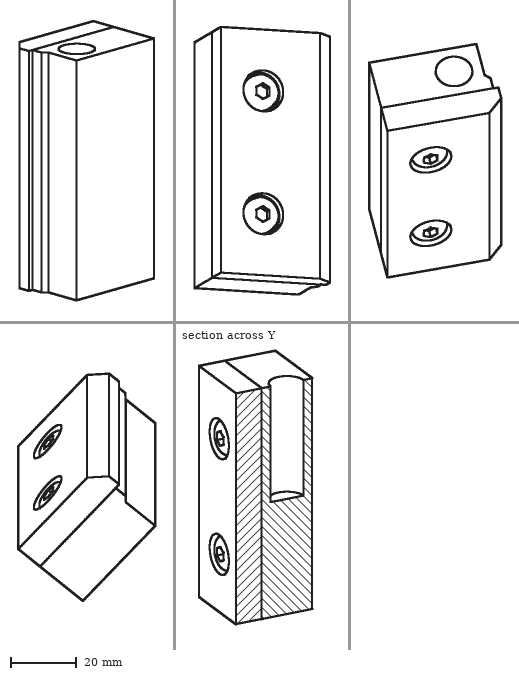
import cadquery as cq
import math

TOTAL_WIDTH = 26.2
TOTAL_DEPTH = 36.5
HEIGHT = 76.2

PLATE_THICKNESS = 8.85
PLATE_CHAMFER = 4.7

LIP_SETBACK = 1.6
BLOCK_SETBACK = 3.1
LIP_WIDTH = 3.9

BORE_DIAMETER = 11.1
BORE_Y = 12.0
BORE_DEPTH = HEIGHT / 2
BORE_X = (PLATE_THICKNESS + TOTAL_WIDTH) / 2

SCREW_Y = 22.9
SCREW_HEIGHTS = [HEIGHT / 4, HEIGHT * 3 / 4]
SHANK_DIAMETER = 6.3
HEAD_DIAMETER = 11.1
HEAD_HEIGHT = 3.35
HEAD_FLAT_DIAMETER = 6.7
COUNTERBORE_DIAMETER = 12.7
HEAD_RECESS = 0.3
COUNTERBORE_DEPTH = HEAD_RECESS + HEAD_HEIGHT
SCREW_REACH = 19.8
HEX_ACROSS_FLATS = 4.2
HEX_DEPTH = 2.3
HEX_POINT_DEPTH = 1.15

HEX_CORNER_RADIUS = HEX_ACROSS_FLATS / math.sqrt(3)


def x_cylinder(diameter, start_x, end_x, z):
    """Cylinder on a screw axis, between two X positions."""
    return (
        cq.Workplane("YZ", origin=(start_x, SCREW_Y, z))
        .circle(diameter / 2)
        .extrude(end_x - start_x)
    )


def make_plate():
    """Chamfered plate with counterbored screw holes."""
    plate = (
        cq.Workplane("XY")
        .moveTo(PLATE_CHAMFER, 0)
        .lineTo(PLATE_THICKNESS, 0)
        .lineTo(PLATE_THICKNESS, TOTAL_DEPTH)
        .lineTo(0, TOTAL_DEPTH)
        .lineTo(0, PLATE_CHAMFER)
        .close()
        .extrude(HEIGHT)
    )
    for z in SCREW_HEIGHTS:
        plate = plate.cut(x_cylinder(COUNTERBORE_DIAMETER, 0, COUNTERBORE_DEPTH, z))
        plate = plate.cut(x_cylinder(SHANK_DIAMETER, 0, PLATE_THICKNESS, z))
    return plate


def make_block():
    """Backing block with a sloped lip, a blind top bore and screw holes."""
    lip_end_x = PLATE_THICKNESS + LIP_WIDTH
    slope_run = BLOCK_SETBACK - LIP_SETBACK
    block = (
        cq.Workplane("XY")
        .moveTo(PLATE_THICKNESS, LIP_SETBACK)
        .lineTo(lip_end_x, LIP_SETBACK)
        .lineTo(lip_end_x + slope_run, BLOCK_SETBACK)
        .lineTo(TOTAL_WIDTH, BLOCK_SETBACK)
        .lineTo(TOTAL_WIDTH, TOTAL_DEPTH)
        .lineTo(PLATE_THICKNESS, TOTAL_DEPTH)
        .close()
        .extrude(HEIGHT)
    )
    bore = (
        cq.Workplane("XY", origin=(BORE_X, BORE_Y, HEIGHT))
        .circle(BORE_DIAMETER / 2)
        .extrude(-BORE_DEPTH)
    )
    block = block.cut(bore)
    for z in SCREW_HEIGHTS:
        block = block.cut(x_cylinder(SHANK_DIAMETER, PLATE_THICKNESS, SCREW_REACH, z))
    return block


def make_hex_socket(z):
    """Hexagonal recess with a conical floor, as a cutting tool."""
    hexagon = (
        cq.Workplane("YZ", origin=(HEAD_RECESS, SCREW_Y, z))
        .transformed(rotate=(0, 0, 90))
        .polygon(6, 2 * HEX_CORNER_RADIUS)
        .extrude(HEX_DEPTH + HEX_POINT_DEPTH)
    )
    pointed_envelope = cq.Workplane("XY").add(
        cq.Solid.makeCylinder(
            HEX_CORNER_RADIUS, HEX_DEPTH,
            cq.Vector(HEAD_RECESS, SCREW_Y, z), cq.Vector(1, 0, 0),
        )
    ).union(
        cq.Workplane("XY").add(
            cq.Solid.makeCone(
                HEX_CORNER_RADIUS, 0, HEX_POINT_DEPTH,
                cq.Vector(HEAD_RECESS + HEX_DEPTH, SCREW_Y, z), cq.Vector(1, 0, 0),
            )
        )
    )
    return hexagon.intersect(pointed_envelope)


def make_screw(z):
    """Button-head screw: rounded head and plain shank revolved about X, less the socket."""
    head_radius = HEAD_DIAMETER / 2
    flat_radius = HEAD_FLAT_DIAMETER / 2
    edge_radius = head_radius - flat_radius
    shank_radius = SHANK_DIAMETER / 2
    body = (
        cq.Workplane("XY")
        .moveTo(HEAD_RECESS, 0)
        .lineTo(HEAD_RECESS, flat_radius)
        .radiusArc((HEAD_RECESS + edge_radius, head_radius), edge_radius)
        .lineTo(COUNTERBORE_DEPTH, head_radius)
        .lineTo(COUNTERBORE_DEPTH, shank_radius)
        .lineTo(SCREW_REACH, shank_radius)
        .lineTo(SCREW_REACH, 0)
        .close()
        .revolve(360, (0, 0, 0), (1, 0, 0))
        .translate((0, SCREW_Y, z))
    )
    return body.cut(make_hex_socket(z))


plate = make_plate()
block = make_block()
screws = [make_screw(z) for z in SCREW_HEIGHTS]

result = cq.Compound.makeCompound([plate.val(), block.val(), *[screw.val() for screw in screws]])